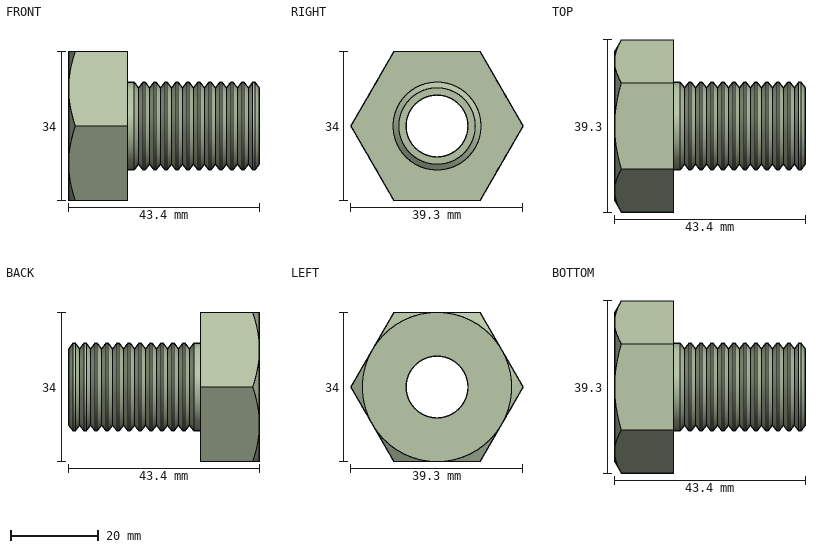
import cadquery as cq
import math

total_length = 43.4
head_length = 13.4
across_flats = 34.0
chamfer_angle = 30.0
shank_diameter = 20.0
bore_diameter = 14.0

groove_count = 11
crest_width = 0.5
thread_depth = 1.3

across_corners = across_flats / math.cos(math.radians(30))
flat_radius = across_flats / 2
corner_radius = across_corners / 2
chamfer_length = (corner_radius - flat_radius) * math.tan(math.radians(chamfer_angle))
crest_radius = shank_diameter / 2
root_radius = crest_radius - thread_depth
pitch = (total_length - head_length) / (groove_count + 1)
flank_length = (pitch - crest_width) / 2


def revolve_about_x(profile):
    """Revolve a closed (X, radius) profile around the bolt axis."""
    return cq.Workplane("XY").polyline(profile).close().revolve(360, (0, 0, 0), (1, 0, 0))


def make_head():
    """Hexagon with corners on the Y axis, its outer corners cut by a cone."""
    hexagon = cq.Workplane("YZ").polygon(6, across_corners).extrude(head_length)
    chamfer_envelope = revolve_about_x([
        (0, 0),
        (0, flat_radius),
        (chamfer_length, corner_radius),
        (head_length, corner_radius),
        (head_length, 0),
    ])
    return hexagon.intersect(chamfer_envelope)


def make_shank():
    """Plain collar followed by evenly spaced thread ridges."""
    first_root = head_length + pitch
    profile = [
        (head_length, 0),
        (head_length, crest_radius),
        (first_root - flank_length, crest_radius),
        (first_root, root_radius),
    ]
    for ridge in range(groove_count):
        ridge_start = first_root + ridge * pitch
        crest_start = ridge_start + flank_length
        profile += [
            (crest_start, crest_radius),
            (crest_start + crest_width, crest_radius),
            (ridge_start + pitch, root_radius),
        ]
    profile.append((total_length, 0))
    return revolve_about_x(profile)


bore = cq.Workplane("YZ").circle(bore_diameter / 2).extrude(total_length)

result = make_head().union(make_shank()).cut(bore)